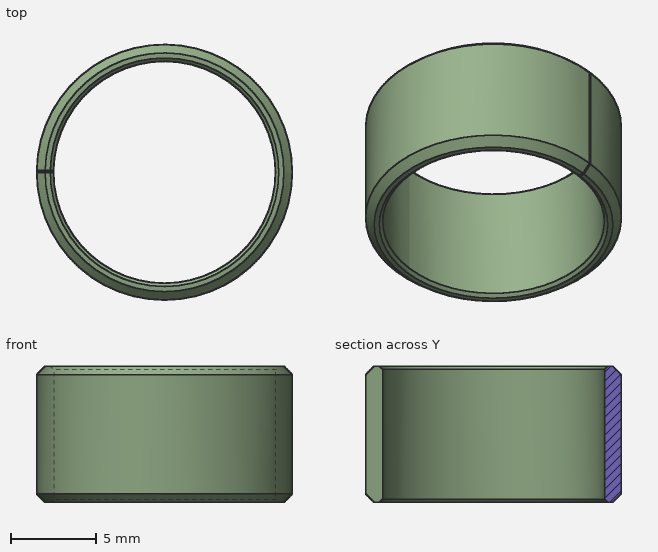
import cadquery as cq

outer_diameter = 15.0
inner_diameter = 13.0
length = 8.0
outer_chamfer = 0.5
inner_chamfer = 0.2
split_width = 0.1

outer_radius = outer_diameter / 2
inner_radius = inner_diameter / 2
wall = outer_radius - inner_radius


def chamfered_sleeve():
    """Revolved wall section with chamfers on all four rims."""
    outer_rim = outer_radius - outer_chamfer
    inner_rim = inner_radius + inner_chamfer
    section = [
        (inner_rim, 0),
        (outer_rim, 0),
        (outer_radius, outer_chamfer),
        (outer_radius, length - outer_chamfer),
        (outer_rim, length),
        (inner_rim, length),
        (inner_radius, length - inner_chamfer),
        (inner_radius, inner_chamfer),
    ]
    return cq.Workplane("XZ").polyline(section).close().revolve(360, (0, 0, 0), (0, 1, 0))


def split_cutter():
    """Full-length block opening the wall on the -X side, with one face on the Y = 0 plane."""
    block = cq.Workplane("XY").box(2 * wall, split_width, length, centered=(True, False, False))
    return block.translate((-(outer_radius + inner_radius) / 2, 0, 0))


result = chamfered_sleeve().cut(split_cutter())